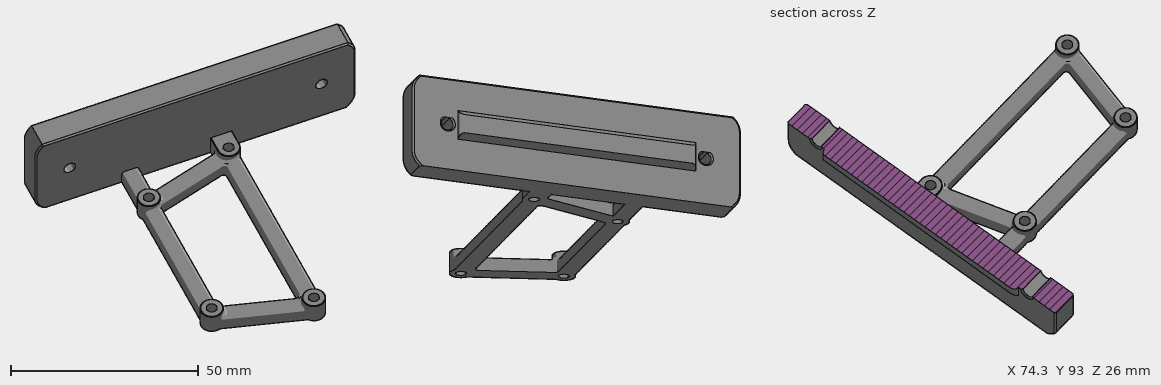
import cadquery as cq
import math

plate_thickness = 7.9
plate_length = 93.0
plate_height = 26.0
corner_radius = 5.0
corner_drop = 4.2
edge_chamfer = 0.5

ridge_length = 67.3
ridge_height = 8.2
ridge_depth = 1.5

screw_radius = 1.7
screw_roof = 1.8
screw_offset = 36.55
screw_countersink = 0.5

bar_width = 5.0
bar_height = 4.0
boss_diameter = 6.2
boss_height = 6.0
boss_top_chamfer = 0.2
pin_diameter = 2.9
blend_radius = 1.0

rear_y = 7.4
front_y = -19.0
linkage_middle_x = 41.25
rear_span = 56.9
front_span = 41.9

rear_inner = (linkage_middle_x - rear_span / 2, rear_y)
rear_outer = (linkage_middle_x + rear_span / 2, rear_y)
front_inner = (linkage_middle_x - front_span / 2, front_y)
front_outer = (linkage_middle_x + front_span / 2, front_y)
pivots = [rear_inner, rear_outer, front_inner, front_outer]

middle_z = plate_height / 2
overlap = 1.9
tolerance = 0.01
front_anchor = (plate_thickness - overlap, front_y)


def make_plate():
    """Plate whose rounded corners meet the long edges through a short chamfer."""
    half_length = plate_length / 2
    half_height = plate_height / 2
    arc_rise = corner_drop - edge_chamfer
    arc_centre_y = half_length - corner_radius
    arc_centre_z = half_height - corner_drop
    end_angle = math.asin(arc_rise / corner_radius)
    arc_end_y = arc_centre_y + corner_radius * math.cos(end_angle)
    arc_middle = (
        arc_centre_y + corner_radius * math.cos(end_angle / 2),
        arc_centre_z + corner_radius * math.sin(end_angle / 2),
    )
    plate = (
        cq.Workplane("YZ", origin=(0, 0, middle_z))
        .moveTo(0, half_height)
        .lineTo(arc_end_y - edge_chamfer, half_height)
        .lineTo(arc_end_y, half_height - edge_chamfer)
        .threePointArc(arc_middle, (half_length, arc_centre_z))
        .lineTo(half_length, 0)
        .mirrorX()
        .mirrorY()
        .extrude(plate_thickness)
    )
    rim = plate.faces("<X or >X").edges().filter(lambda edge: edge.Center().z > tolerance)
    return rim.chamfer(edge_chamfer)


def make_ridge():
    """Ridge with sloped long sides and rounded ends."""
    block = (
        cq.Workplane("XY", origin=(-ridge_depth, 0, middle_z))
        .box(ridge_depth + overlap, ridge_length, ridge_height, centered=(False, True, True))
    )
    sloped = block.edges("<X and |Y").chamfer(ridge_depth)
    rounded = block.edges("<X and |Z").fillet(ridge_depth)
    return sloped.intersect(rounded)


def roofed_hole(radius, x):
    """Wire of a circle at depth x with a 45 degree roof, cut off flat."""
    shoulder = radius * math.sqrt(0.5)
    roof_half_width = radius * math.sqrt(2) - screw_roof
    return (
        cq.Workplane("YZ", origin=(x, 0, middle_z))
        .moveTo(-roof_half_width, screw_roof)
        .lineTo(-shoulder, shoulder)
        .threePointArc((0, -radius), (shoulder, shoulder))
        .lineTo(roof_half_width, screw_roof)
        .close()
    )


def make_screw_hole():
    """Through hole with a countersink at the front face; the flat roof is level throughout."""
    bore = roofed_hole(screw_radius, 0).extrude(plate_thickness)
    mouth = roofed_hole(screw_radius + screw_countersink, 0).val()
    throat = roofed_hole(screw_radius, screw_countersink).val()
    countersink = cq.Solid.makeLoft([mouth, throat], True)
    return bore.union(countersink)


def pivot_distance(point):
    """Horizontal distance from a point to the nearest pivot axis."""
    return min(math.dist((point.x, point.y), pivot) for pivot in pivots)


def make_bar(start, end):
    """Straight square-edged bar between two points."""
    length = math.dist(start, end)
    angle = math.degrees(math.atan2(end[1] - start[1], end[0] - start[0]))
    return (
        cq.Workplane("XY")
        .box(length, bar_width, bar_height, centered=(False, True, False))
        .rotate((0, 0, 0), (0, 0, 1), angle)
        .translate((start[0], start[1], 0))
    )


def make_frame():
    """Closed four-bar loop with rounded inner corners, tied to the plate by one more bar."""
    loop = make_bar(rear_inner, rear_outer)
    for start, end in [
        (rear_outer, front_outer),
        (front_outer, front_inner),
        (front_inner, rear_inner),
    ]:
        loop = loop.union(make_bar(start, end))

    def is_inner_corner(edge):
        return bar_width / 2 + tolerance < pivot_distance(edge.Center()) < bar_width

    loop = loop.edges("|Z").filter(is_inner_corner).fillet(blend_radius)
    frame = loop.union(make_bar(front_anchor, front_inner))
    return frame.faces(">Z").edges().fillet(blend_radius)


def make_bosses():
    """One boss per pivot; the rear inner one runs straight into the plate."""
    bosses = cq.Workplane("XY").pushPoints(pivots).circle(boss_diameter / 2).extrude(boss_height)
    web_start = plate_thickness - overlap
    web_length = rear_inner[0] - web_start
    web = (
        cq.Workplane("XY", origin=(web_start, rear_y, 0))
        .box(web_length, boss_diameter, boss_height, centered=(False, True, False))
    )
    return bosses.union(web).faces(">Z").edges().chamfer(boss_top_chamfer)


def is_bar_to_boss(edge):
    """True for an edge on a boss wall that lies against a bar, above the underside."""
    points = [edge.positionAt(position) for position in (0, 0.5, 1)]
    on_wall = all(abs(pivot_distance(point) - boss_diameter / 2) < tolerance for point in points)
    heights = [point.z for point in points]
    return on_wall and max(heights) < bar_height + tolerance and max(heights) > tolerance


def make_linkage():
    """Bar frame and bosses, blended together where they meet."""
    linkage = make_frame().union(make_bosses())
    return linkage.edges().filter(is_bar_to_boss).fillet(blend_radius)


linkage = make_linkage()
pin_holes = cq.Workplane("XY").pushPoints(pivots).circle(pin_diameter / 2).extrude(boss_height)
result = make_plate().union(make_ridge())
for side in (-1, 1):
    result = result.cut(make_screw_hole().translate((0, side * screw_offset, 0)))
result = result.union(linkage).cut(pin_holes)